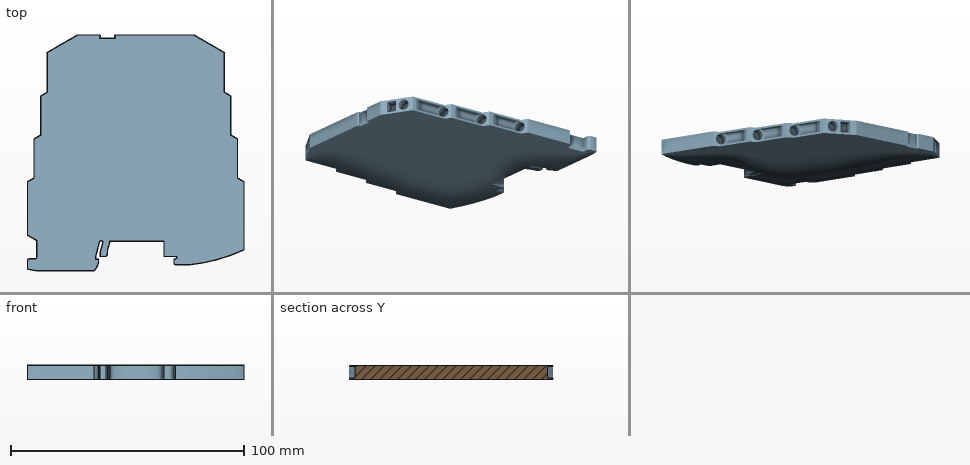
import cadquery as cq
import math


width = 93.1
height = 101.2
thickness = 6.3
mid_x = width / 2

tier_count = 3
tier_inset = 2.85
tier_pitch = 18.4
first_shoulder_y = 38.2
slope = math.radians(30)
shoulder_rise = tier_inset * math.tan(slope)
chamfer_inset = tier_count * tier_inset
chamfer_height = 7.5
chamfer_run = chamfer_height / math.tan(slope)
chamfer_low_y = height - chamfer_height

notch_left = 31.15
notch_right = 37.75
notch_depth = 1.4
notch_lip = 0.35
notch_lip_depth = 0.5

recess_depth = 4.0
recess_top_y = 15.3
recess_bottom_y = 5.25
recess_corner = 0.5
foot_top_corner = 1.1
foot_low_y = 1.3
foot_low_bow = (0.2, 0.8)
foot_low_end = (0.8, 0.55)
foot_base_left = 3.8
foot_base_right = 28.7
foot_nose_x = 30.6
foot_nose_y = 3.6
foot_bow = (29.9, 1.6)
foot_shelf_y = 5.0

slot_low_left = (29.4, 6.1)
slot_high_left = (31.0, 12.3)
slot_crown = (31.7, 12.9)
slot_high_right = (32.4, 12.2)
finger_bend = (31.25, 8.0)
ledge_y = 6.1
finger_tip_right = 33.7
finger_corner = 0.7
finger_side = (34.5, 9.0)
finger_root_x = 35.5

rail_roof_y = 12.6
rail_right = 58.6
hook_throat_x = 64.1
hook_throat_low_y = 5.5
hook_left = 62.9
hook_lip_y = 4.8
hook_low_y = 2.5
hook_corner = 0.6

sweep_start_x = 69.4
sweep_middle = (81.25, 4.7)
right_edge_low_y = 9.0

pocket_width = 4.7
pocket_depth = 2.4
pocket_top_margin = 2.1
screw_hole_dia = 4.6
screw_hole_depth = 5.0
wire_hole_length = 4.2
wire_hole_depth = 5.0
chamfer_wire_along = 5.1
chamfer_screw_along = 10.7

chamfer_dir = cq.Vector(math.cos(slope), math.sin(slope), 0)
inward_dir = cq.Vector(math.sin(slope), -math.cos(slope), 0)


def shoulder_y(tier):
    """Height of the outer edge of the shoulder below the given tier."""
    return first_shoulder_y + tier * tier_pitch


def left_flank():
    """Points up the left flank, from the lowest shoulder to the top edge."""
    points = []
    for tier in range(tier_count):
        outer_x = tier * tier_inset
        y = shoulder_y(tier)
        points.append((outer_x, y))
        points.append((outer_x + tier_inset, y + shoulder_rise))
    points.append((chamfer_inset, chamfer_low_y))
    points.append((chamfer_inset + chamfer_run, height))
    return points


def top_notch():
    """Points of the latch notch, left to right, with a small lip on each side."""
    lip_y = height - notch_lip_depth
    under_y = height - 2 * notch_lip_depth
    floor_y = height - notch_depth
    return [
        (notch_left, height),
        (notch_left + notch_lip, lip_y),
        (notch_left, under_y),
        (notch_left, floor_y),
        (notch_right, floor_y),
        (notch_right, under_y),
        (notch_right - notch_lip, lip_y),
        (notch_right, height),
    ]


def housing():
    """Solid plate, traced clockwise from the top of the left recess."""
    flank = left_flank()
    right_flank = [(width - x, y) for x, y in reversed(flank)]
    outline = cq.Workplane("XY").moveTo(0, recess_top_y)
    for point in flank + top_notch() + right_flank:
        outline = outline.lineTo(*point)

    outline = (
        outline.lineTo(width, right_edge_low_y)
        .threePointArc(sweep_middle, (sweep_start_x, hook_low_y))
        .lineTo(hook_left + hook_corner, hook_low_y)
        .lineTo(hook_left, hook_low_y + hook_corner)
        .lineTo(hook_left, hook_lip_y)
        .lineTo(hook_throat_x, hook_throat_low_y)
        .lineTo(hook_throat_x, ledge_y)
        .lineTo(rail_right, ledge_y)
        .lineTo(rail_right, rail_roof_y)
    )

    outline = (
        outline.lineTo(finger_root_x, rail_roof_y)
        .lineTo(*finger_side)
        .lineTo(finger_tip_right + finger_corner, ledge_y + finger_corner)
        .lineTo(finger_tip_right, ledge_y)
        .lineTo(finger_bend[0], ledge_y)
        .lineTo(*finger_bend)
        .lineTo(*slot_high_right)
        .threePointArc(slot_crown, slot_high_left)
        .lineTo(*slot_low_left)
    )

    recess_rise = recess_depth * math.tan(slope)
    outline = (
        outline.lineTo(slot_low_left[0], foot_shelf_y)
        .lineTo(foot_nose_x, foot_shelf_y)
        .lineTo(foot_nose_x, foot_nose_y)
        .threePointArc(foot_bow, (foot_base_right, 0))
        .lineTo(foot_base_left, 0)
        .lineTo(*foot_low_end)
        .threePointArc(foot_low_bow, (0, foot_low_y))
        .lineTo(0, recess_bottom_y - foot_top_corner)
        .radiusArc((foot_top_corner, recess_bottom_y), foot_top_corner)
        .lineTo(recess_depth - recess_corner, recess_bottom_y)
        .radiusArc((recess_depth, recess_bottom_y + recess_corner), -recess_corner)
        .lineTo(recess_depth, recess_top_y - recess_rise)
        .close()
    )
    return outline.extrude(thickness)


def sloped_plane(x, y):
    """Workplane at mid thickness on a 30 degree face, pointing into the housing."""
    return cq.Workplane(cq.Plane((x, y, thickness / 2), chamfer_dir, inward_dir))


def tier_pocket(tier):
    """Left wire pocket of one tier, open to its flank and shoulder screw hole."""
    face_x = (tier + 1) * tier_inset
    low_y = shoulder_y(tier) + shoulder_rise
    tier_top_y = chamfer_low_y if tier == tier_count - 1 else shoulder_y(tier + 1)
    high_y = tier_top_y - pocket_top_margin
    floor_x = face_x + pocket_depth
    floor_low_y = low_y + pocket_depth * math.tan(slope)
    floor_high_y = high_y - pocket_depth / math.tan(slope)
    wire_pocket = (
        cq.Workplane("XY", origin=(0, 0, (thickness - pocket_width) / 2))
        .polyline([(face_x, low_y), (face_x, high_y), (floor_x, floor_high_y), (floor_x, floor_low_y)])
        .close()
        .extrude(pocket_width)
    )
    radius = screw_hole_dia / 2
    hole_x = floor_x - radius * math.cos(slope)
    hole_y = floor_low_y - radius * math.sin(slope)
    screw_hole = sloped_plane(hole_x, hole_y).circle(radius).extrude(screw_hole_depth)
    return wire_pocket.union(screw_hole)


def chamfer_openings():
    """Wire opening and screw hole in the left top chamfer."""

    def on_chamfer(along):
        x = chamfer_inset + chamfer_run - along * math.cos(slope)
        y = height - along * math.sin(slope)
        return sloped_plane(x, y)

    screw_hole = on_chamfer(chamfer_screw_along)
    wire_hole = on_chamfer(chamfer_wire_along)
    screw_hole = screw_hole.circle(screw_hole_dia / 2).extrude(screw_hole_depth)
    wire_hole = wire_hole.rect(wire_hole_length, pocket_width).extrude(wire_hole_depth)
    return screw_hole.union(wire_hole)


result = housing()
left_cutters = [tier_pocket(tier) for tier in range(tier_count)] + [chamfer_openings()]
for cutter in left_cutters:
    result = result.cut(cutter)
    result = result.cut(cutter.mirror("YZ", (mid_x, 0, 0)))